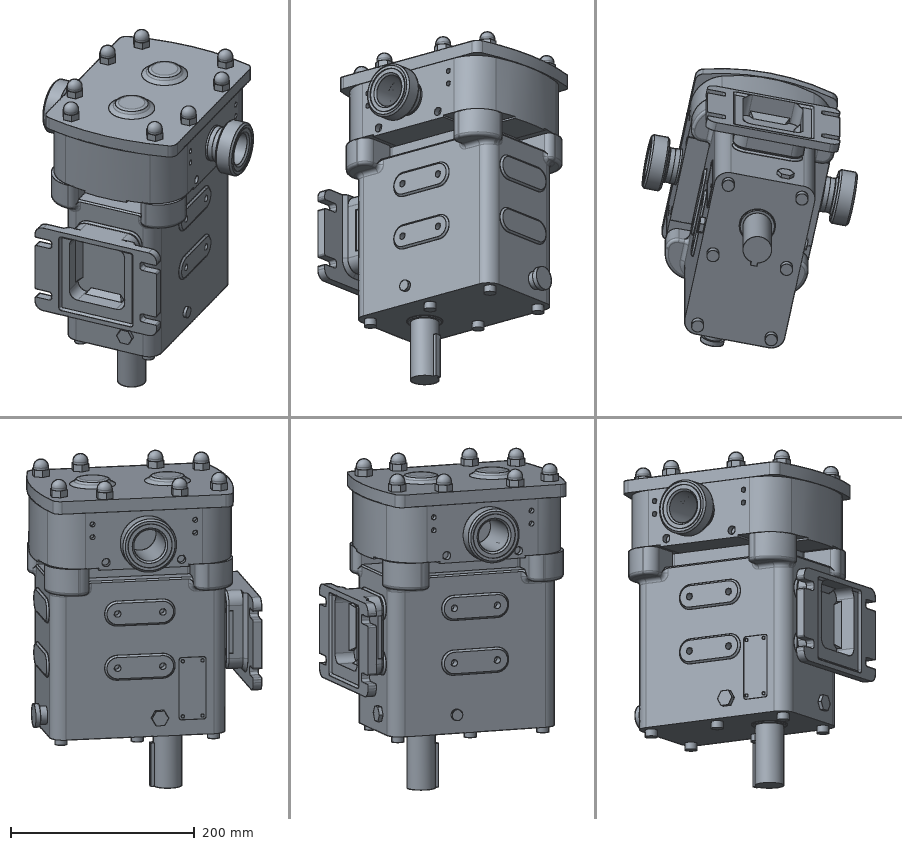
import cadquery as cq
import math

SIDES = (-1, 1)

CASE_HALF_X = 55.5
CASE_HALF_Y = 97.2
CASE_TOP = 176.0
CASE_CORNER_RADIUS = 15.0
CASE_LEDGE_CHAMFER = 1.8

EAR_OUTER_X = 79.0
EAR_INNER_X = 38.5
EAR_OUTER_Y = 104.0
EAR_INNER_Y = 59.0
EAR_BOTTOM = 165.5
EAR_TOP = 196.0
EAR_OUTER_RADIUS = 31.5
EAR_SIDE_RADIUS = 12.2
EAR_INNER_RADIUS = 8.0
EAR_BOTTOM_FILLET = 3.5
EAR_BLEND = 5.0
NECK_HALF_X = EAR_INNER_X
NECK_HALF_Y = 67.0
NECK_TOP = 193.7
NECK_CORNER_RADIUS = 10.8

PAD_LEVELS = (78.5, 139.0)
PAD_LENGTH = 78.2
PAD_HEIGHT = 28.0
PAD_THICKNESS = 2.5
PAD_CHAMFER = 2.0
PAD_HOLE_OFFSET = 25.0
PAD_HOLE_DIAMETER = 7.0
PAD_HOLE_DEPTH = 10.8

PLUG_LEVEL = 20.8
PLUG_OFFSET_X = 19.7
PLUG_OFFSET_Y = 22.0
HEX_PLUG_CORNERS = 18.5
FRONT_PLUG_LENGTH = 4.3
LEFT_PLUG_LENGTH = 5.0
RIGHT_PLUG_DIAMETER = 12.2
RIGHT_PLUG_LENGTH = 3.5
BREATHER_NECK_DIAMETER = 20.0
BREATHER_NECK_LENGTH = 8.3
BREATHER_CAP_DIAMETER = 26.0
BREATHER_REACH_Y = 111.0

PLATE_CENTER_Y = -58.5
PLATE_CENTER_Z = 52.0
PLATE_WIDTH = 29.8
PLATE_HEIGHT = 69.5
PLATE_THICKNESS = 0.7
PLATE_CORNER_RADIUS = 3.0
RIVET_INSET = 4.0
RIVET_DIAMETER = 3.5

BASE_BOLT_X = 41.0
BASE_BOLT_PITCH_Y = 84.5
BASE_BOLT_DIAMETER = 13.3
BASE_BOLT_LENGTH = 7.5
SHAFT_OFFSET = 41.5
SHAFT_DIAMETER = 31.2
SHAFT_LENGTH = 68.0
SEAL_DIAMETER = 39.5
SEAL_HEIGHT = 1.8
SEAL_CHAMFER = 1.0
KEY_WIDTH = 7.0
KEY_LENGTH = 48.5
KEY_RISE = 3.5

HOUSING_HALF_X = 78.5
HOUSING_HALF_Y = 109.0
COVER_HALF_X = 79.0
COVER_HALF_Y = 109.8
HOUSING_TOP = 258.3
HOUSING_ARC_RADIUS = 179.5
HOUSING_CORNER_RADIUS = 38.5
EAR_POCKET_INNER_X = 25.5
EAR_POCKET_INNER_Y = 50.0
COVER_TOP = 272.3
COVER_ARC_RADIUS = 269.0
COVER_CORNER_RADIUS = 9.5

BOSS_PROFILE = ((25.0, 0.0), (20.0, 3.2), (18.0, 5.7), (14.5, 6.8))

END_NUT_X = 50.5
END_NUT_Y = 89.0
SIDE_NUT_X = 69.0
NUT_CORNERS = 19.5
NUT_HEX_HEIGHT = 7.5
NUT_TOTAL_HEIGHT = 18.3
NUT_DOME_RADIUS = 8.3

PORT_LEVEL = 226.7
PORT_REACH = 114.0
PORT_NECK_RADIUS = 19.5
PORT_FLANGE_RADIUS = 29.8
PORT_FLANGE_LENGTH = 19.7
PORT_FLANGE_CHAMFER = 2.0
PORT_ROOT_TAPER = 2.0
PORT_GROOVE_START = 86.0
PORT_GROOVE_WIDTH = 5.5
PORT_GROOVE_DEPTH = 0.5
PORT_BASE_LENGTH = 2.0
PORT_BASE_RISE = 0.5
PORT_RECESS_RADIUS = 24.5
PORT_RECESS_DEPTH = 1.0
PORT_BORE_RADIUS = 17.5
PORT_BORE_CHAMFER = 2.0
PORT_BORE_DEPTH = 57.5

SENSOR_HOLE_Y = 57.0
SENSOR_HOLE_LEVELS = (231.0, 245.5)
SENSOR_HOLE_DIAMETER = 5.5
DRAIN_HOLE_Y = 42.0
DRAIN_HOLE_LEVEL = 202.0
DRAIN_HOLE_DIAMETER = 9.0
WALL_HOLE_DEPTH = 7.0

FOOT_FACE_Y = -132.0
FOOT_BACK_Y = -(CASE_HALF_Y + PAD_THICKNESS)
FOOT_TOP = 152.5
FLANGE_HALF_X = 73.5
FLANGE_BOTTOM = 49.0
FLANGE_THICKNESS = 9.7
FLANGE_CORNER_RADIUS = 10.0
SLOT_LEVELS = (69.2, 133.8)
SLOT_WIDTH = 10.0
SLOT_INNER_X = 53.5
SLOT_END_RADIUS = 3.2
SLOT_MOUTH_RADIUS = 1.8
BOX_HALF_X = 39.0
BOX_BOTTOM = 65.3
BOX_CORNER_RADIUS = 14.0
BOX_BACK_CHAMFER = 2.5
BOX_FLARE = 4.3
FLARE_BEVEL_SHARE = 0.99
FACE_RECESS_HALF_X = 45.0
FACE_RECESS_BOTTOM = 54.5
CAVITY_TOP = 146.7
FACE_RECESS_DEPTH = 3.0
FACE_RECESS_RADIUS = 3.5
FACE_RECESS_BEVEL = 2.5
CAVITY_HALF_X = 33.5
CAVITY_BOTTOM = 70.5
CAVITY_RADIUS = 10.0
CAVITY_FLOOR = 7.0
RIB_WIDTH = 5.7
RIB_HEIGHT = 6.0
RIB_END_SLOPE = 4.3
RIB_LENGTH_X = 35.0
RIB_LENGTH_Z = 43.8
RELIEF_DEPTH = 1.5
RELIEF_WIDTH = 4.5
RELIEF_OFFSET = 2.5
RELIEF_HEIGHT = 47.5


def block(x0, x1, y0, y1, z0, z1):
    return cq.Workplane("XY").box(x1 - x0, y1 - y0, z1 - z0, centered=False).translate((x0, y0, z0))


def wall_plane(normal, origin):
    """Plane on a vertical wall, with its local Y axis pointing up."""
    across = cq.Vector(0, 0, 1).cross(cq.Vector(*normal))
    return cq.Workplane(cq.Plane(origin, across, normal))


def join(body, parts):
    for part in parts:
        body = body.union(part)
    return body


def remove(body, parts):
    for part in parts:
        body = body.cut(part)
    return body


def ears():
    ear = block(EAR_INNER_X, EAR_OUTER_X, EAR_INNER_Y, EAR_OUTER_Y, EAR_BOTTOM, EAR_TOP)
    ear = ear.edges("|Z and >X and >Y").fillet(EAR_OUTER_RADIUS)
    ear = ear.edges("|Z and >X and <Y").fillet(EAR_SIDE_RADIUS)
    ear = ear.edges("|Z and <X and >Y").fillet(EAR_INNER_RADIUS)
    ear = ear.faces("<Z").edges().fillet(EAR_BOTTOM_FILLET)
    pair = ear.union(ear.mirror("YZ"))
    return pair.union(pair.mirror("XZ"))


def neck():
    body = block(-NECK_HALF_X, NECK_HALF_X, -NECK_HALF_Y, NECK_HALF_Y, EAR_BOTTOM, NECK_TOP)
    return body.edges("|Z").fillet(NECK_CORNER_RADIUS)


def case_block():
    body = block(-CASE_HALF_X, CASE_HALF_X, -CASE_HALF_Y, CASE_HALF_Y, 0, CASE_TOP)
    body = body.edges("|Z").fillet(CASE_CORNER_RADIUS)
    return body.faces(">Z").edges().chamfer(CASE_LEDGE_CHAMFER)


def blend_ears_into_case(body):
    """Round the inside corners where the ears leave the case walls."""
    ledge = CASE_TOP - CASE_LEDGE_CHAMFER
    core_x = CASE_HALF_X - CASE_CORNER_RADIUS
    core_y = CASE_HALF_Y - CASE_CORNER_RADIUS
    slack = 0.05

    def on_case_wall(edge):
        in_blend_zone = edge.BoundingBox().zmin > EAR_BOTTOM - slack and edge.Center().z < ledge - slack
        middle = edge.positionAt(0.5)
        past_x = max(abs(middle.x) - core_x, 0)
        past_y = max(abs(middle.y) - core_y, 0)
        on_wall = abs(math.hypot(past_x, past_y) - CASE_CORNER_RADIUS) < slack
        return in_blend_zone and on_wall

    return body.edges().filter(on_case_wall).fillet(EAR_BLEND)


def mounting_pads():
    pads = []
    walls = [((side, 0, 0), CASE_HALF_X) for side in SIDES]
    walls += [((0, side, 0), CASE_HALF_Y) for side in SIDES]
    for normal, distance in walls:
        outer_face = cq.DirectionMinMaxSelector(cq.Vector(*normal), True)
        for level in PAD_LEVELS:
            origin = (normal[0] * distance, normal[1] * distance, level)
            pad = wall_plane(normal, origin).slot2D(PAD_LENGTH, PAD_HEIGHT).extrude(PAD_THICKNESS)
            pads.append(pad.faces(outer_face).edges().chamfer(PAD_CHAMFER))
    return pads


def pad_holes():
    holes = []
    points = [(-PAD_HOLE_OFFSET, 0), (PAD_HOLE_OFFSET, 0)]
    for side in SIDES:
        for level in PAD_LEVELS:
            plane = wall_plane((side, 0, 0), (side * (CASE_HALF_X + PAD_THICKNESS), 0, level))
            holes.append(plane.pushPoints(points).circle(PAD_HOLE_DIAMETER / 2).extrude(-PAD_HOLE_DEPTH))
    return holes


def oil_plugs():
    front = wall_plane((0, -1, 0), (PLUG_OFFSET_X, -CASE_HALF_Y, PLUG_LEVEL))
    left = wall_plane((-1, 0, 0), (-CASE_HALF_X, -PLUG_OFFSET_Y, PLUG_LEVEL))
    right = wall_plane((1, 0, 0), (CASE_HALF_X, -PLUG_OFFSET_Y, PLUG_LEVEL))
    return [
        front.polygon(6, HEX_PLUG_CORNERS).extrude(FRONT_PLUG_LENGTH),
        left.polygon(6, HEX_PLUG_CORNERS).extrude(LEFT_PLUG_LENGTH),
        right.circle(RIGHT_PLUG_DIAMETER / 2).extrude(RIGHT_PLUG_LENGTH),
    ]


def breather():
    neck_part = wall_plane((0, 1, 0), (-PLUG_OFFSET_X, CASE_HALF_Y, PLUG_LEVEL))
    neck_part = neck_part.circle(BREATHER_NECK_DIAMETER / 2).extrude(BREATHER_NECK_LENGTH)
    cap_start = CASE_HALF_Y + BREATHER_NECK_LENGTH
    cap = wall_plane((0, 1, 0), (-PLUG_OFFSET_X, cap_start, PLUG_LEVEL))
    cap = cap.circle(BREATHER_CAP_DIAMETER / 2).extrude(BREATHER_REACH_Y - cap_start)
    return [neck_part, cap]


def nameplate():
    plane = wall_plane((-1, 0, 0), (-CASE_HALF_X, PLATE_CENTER_Y, PLATE_CENTER_Z))
    plate = plane.rect(PLATE_WIDTH, PLATE_HEIGHT).extrude(PLATE_THICKNESS)
    plate = plate.edges("|X").fillet(PLATE_CORNER_RADIUS)
    rivet_grid = plane.rect(PLATE_WIDTH - 2 * RIVET_INSET, PLATE_HEIGHT - 2 * RIVET_INSET, forConstruction=True)
    rivets = rivet_grid.vertices().circle(RIVET_DIAMETER / 2).extrude(2 * PLATE_THICKNESS)
    return [plate, rivets]


def base_bolts():
    grid = cq.Workplane("XY").rarray(2 * BASE_BOLT_X, BASE_BOLT_PITCH_Y, 2, 3)
    return [grid.circle(BASE_BOLT_DIAMETER / 2).extrude(-BASE_BOLT_LENGTH)]


def drive_shaft():
    axis = cq.Workplane("XY").center(0, -SHAFT_OFFSET)
    seal = axis.circle(SEAL_DIAMETER / 2).extrude(-SEAL_HEIGHT).faces("<Z").edges().chamfer(SEAL_CHAMFER)
    shaft = axis.circle(SHAFT_DIAMETER / 2).extrude(-SHAFT_LENGTH)
    key_top = -SHAFT_OFFSET + SHAFT_DIAMETER / 2 + KEY_RISE
    key = block(-KEY_WIDTH / 2, KEY_WIDTH / 2, -SHAFT_OFFSET, key_top,
                -SHAFT_LENGTH, KEY_LENGTH - SHAFT_LENGTH)
    return [seal, shaft, key]


def make_gear_case():
    body = blend_ears_into_case(case_block().union(ears()))
    body = body.union(neck())
    body = join(body, mounting_pads() + oil_plugs() + breather() + nameplate())
    body = join(body, base_bolts() + drive_shaft())
    return remove(body, pad_holes())


def barrel_outline(half_x, half_y, arc_radius):
    """Rectangle whose two ends bulge outward as arcs reaching half_y."""
    sagitta = arc_radius - math.sqrt(arc_radius**2 - half_x**2)
    shoulder = half_y - sagitta
    return (
        cq.Workplane("XY")
        .moveTo(half_x, -shoulder)
        .lineTo(half_x, shoulder)
        .threePointArc((0, half_y), (-half_x, shoulder))
        .lineTo(-half_x, -shoulder)
        .threePointArc((0, -half_y), (half_x, -shoulder))
        .close()
    )


def rotor_housing():
    outline = barrel_outline(HOUSING_HALF_X, HOUSING_HALF_Y, HOUSING_ARC_RADIUS)
    body = outline.extrude(HOUSING_TOP - NECK_TOP)
    return body.edges("|Z").fillet(HOUSING_CORNER_RADIUS).translate((0, 0, NECK_TOP))


def cover():
    outline = barrel_outline(COVER_HALF_X, COVER_HALF_Y, COVER_ARC_RADIUS)
    body = outline.extrude(COVER_TOP - HOUSING_TOP)
    return body.edges("|Z").fillet(COVER_CORNER_RADIUS).translate((0, 0, HOUSING_TOP))


def ear_pockets():
    """Shallow corner pockets in the housing underside that seat the ear tops."""
    pocket = block(EAR_POCKET_INNER_X, COVER_HALF_X, EAR_POCKET_INNER_Y, COVER_HALF_Y, NECK_TOP, EAR_TOP)
    pair = pocket.union(pocket.mirror("YZ"))
    return [pair, pair.mirror("XZ")]


def cover_bosses():
    profile = [(0, 0), *BOSS_PROFILE, (0, BOSS_PROFILE[-1][1])]
    boss = cq.Workplane("XZ").polyline(profile).close().revolve(360, (0, 0, 0), (0, 1, 0))
    return [boss.translate((0, side * SHAFT_OFFSET, COVER_TOP)) for side in SIDES]


def domed_nut():
    dome_center = NUT_TOTAL_HEIGHT - NUT_DOME_RADIUS
    hexagon = cq.Workplane("XY").polygon(6, NUT_CORNERS).extrude(NUT_HEX_HEIGHT)
    collar = cq.Workplane("XY").circle(NUT_DOME_RADIUS).extrude(dome_center)
    dome = cq.Workplane("XY").sphere(NUT_DOME_RADIUS).translate((0, 0, dome_center))
    return hexagon.union(collar).union(dome)


def cover_nuts():
    nut = domed_nut()
    spots = [(END_NUT_X, END_NUT_Y), (SIDE_NUT_X, SHAFT_OFFSET)]
    return [nut.translate((sx * x, sy * y, COVER_TOP)) for x, y in spots for sx in SIDES for sy in SIDES]


def port_fitting():
    """Fitting on the +X side: necked tube ending in a flange."""
    flange_start = PORT_REACH - PORT_FLANGE_LENGTH
    chamfer = PORT_FLANGE_CHAMFER
    base_end = HOUSING_HALF_X + PORT_BASE_LENGTH
    groove_end = PORT_GROOVE_START + PORT_GROOVE_WIDTH
    groove_radius = PORT_NECK_RADIUS - PORT_GROOVE_DEPTH
    profile = [
        (HOUSING_HALF_X, 0),
        (HOUSING_HALF_X, PORT_NECK_RADIUS + PORT_BASE_RISE),
        (base_end, PORT_NECK_RADIUS + PORT_BASE_RISE),
        (base_end, PORT_NECK_RADIUS),
        (PORT_GROOVE_START, PORT_NECK_RADIUS),
        (PORT_GROOVE_START, groove_radius),
        (groove_end, groove_radius),
        (groove_end, PORT_NECK_RADIUS),
        (flange_start - PORT_ROOT_TAPER, PORT_NECK_RADIUS),
        (flange_start, PORT_NECK_RADIUS + PORT_ROOT_TAPER),
        (flange_start, PORT_FLANGE_RADIUS - chamfer),
        (flange_start + chamfer, PORT_FLANGE_RADIUS),
        (PORT_REACH - chamfer, PORT_FLANGE_RADIUS),
        (PORT_REACH, PORT_FLANGE_RADIUS - chamfer),
        (PORT_REACH, 0),
    ]
    fitting = cq.Workplane("XY").polyline(profile).close().revolve(360, (0, 0, 0), (1, 0, 0))
    return fitting.translate((0, 0, PORT_LEVEL))


def port_bore():
    """Bore on the +X side, with a chamfered mouth inside a shallow face recess."""
    mouth = PORT_REACH - PORT_RECESS_DEPTH
    profile = [
        (PORT_REACH - PORT_BORE_DEPTH, 0),
        (PORT_REACH - PORT_BORE_DEPTH, PORT_BORE_RADIUS),
        (mouth - PORT_BORE_CHAMFER, PORT_BORE_RADIUS),
        (mouth, PORT_BORE_RADIUS + PORT_BORE_CHAMFER),
        (mouth, PORT_RECESS_RADIUS),
        (PORT_REACH, PORT_RECESS_RADIUS),
        (PORT_REACH, 0),
    ]
    bore = cq.Workplane("XY").polyline(profile).close().revolve(360, (0, 0, 0), (1, 0, 0))
    return bore.translate((0, 0, PORT_LEVEL))


def wall_holes():
    holes = [(SENSOR_HOLE_Y, level, SENSOR_HOLE_DIAMETER) for level in SENSOR_HOLE_LEVELS]
    holes.append((DRAIN_HOLE_Y, DRAIN_HOLE_LEVEL, DRAIN_HOLE_DIAMETER))
    return [
        wall_plane((sx, 0, 0), (sx * HOUSING_HALF_X, sy * y, level)).circle(diameter / 2).extrude(-WALL_HOLE_DEPTH)
        for y, level, diameter in holes
        for sx in SIDES
        for sy in SIDES
    ]


def make_pump_head():
    fitting = port_fitting()
    bore = port_bore()
    body = join(rotor_housing(), [cover(), fitting, fitting.mirror("YZ")])
    body = join(body, cover_bosses() + cover_nuts())
    return remove(body, [bore, bore.mirror("YZ")] + ear_pockets() + wall_holes())


def foot_flange():
    back = FOOT_FACE_Y + FLANGE_THICKNESS
    body = block(-FLANGE_HALF_X, FLANGE_HALF_X, FOOT_FACE_Y, back, FLANGE_BOTTOM, FOOT_TOP)
    body = body.edges("|Y").fillet(FLANGE_CORNER_RADIUS)
    mid_level = sum(SLOT_LEVELS) / 2
    slot_reach = (SLOT_LEVELS[1] - SLOT_LEVELS[0] + 2 * SLOT_WIDTH) / 2
    slots = []
    for level in SLOT_LEVELS:
        slot = block(SLOT_INNER_X, 2 * FLANGE_HALF_X, FOOT_FACE_Y, back,
                     level - SLOT_WIDTH / 2, level + SLOT_WIDTH / 2)
        slot = slot.edges("|Y and <X").fillet(SLOT_END_RADIUS)
        slots += [slot, slot.mirror("YZ")]
    body = remove(body, slots)
    mouth_corners = body.edges("|Y").filter(lambda edge: abs(abs(edge.Center().x) - FLANGE_HALF_X) < 0.05)
    mouth_corners = mouth_corners.filter(lambda edge: abs(edge.Center().z - mid_level) < slot_reach)
    return mouth_corners.fillet(SLOT_MOUTH_RADIUS)


def foot_box():
    body = block(-BOX_HALF_X, BOX_HALF_X, FOOT_FACE_Y + FLANGE_THICKNESS, FOOT_BACK_Y, BOX_BOTTOM, FOOT_TOP)
    body = body.edges("|Y").fillet(BOX_CORNER_RADIUS)
    return body.faces(">Y").edges().chamfer(BOX_BACK_CHAMFER)


def foot_flare():
    """Bevelled skirt where the box spreads into the flange, flush with the foot top."""
    skirt = (
        cq.Workplane("XZ", origin=(0, FOOT_FACE_Y + FLANGE_THICKNESS, 0))
        .center(0, (BOX_BOTTOM - BOX_FLARE + FOOT_TOP) / 2)
        .rect(2 * (BOX_HALF_X + BOX_FLARE), FOOT_TOP - BOX_BOTTOM + BOX_FLARE)
        .extrude(-BOX_FLARE)
    )
    skirt = skirt.edges("|Y and <Z").fillet(BOX_CORNER_RADIUS + BOX_FLARE)
    back_rim = skirt.faces(">Y").edges("not >Z")
    return back_rim.chamfer(FLARE_BEVEL_SHARE * BOX_FLARE)


def foot_cavity():
    recess = block(-FACE_RECESS_HALF_X, FACE_RECESS_HALF_X, FOOT_FACE_Y, FOOT_FACE_Y + FACE_RECESS_DEPTH,
                   FACE_RECESS_BOTTOM, CAVITY_TOP).edges("|Y").fillet(FACE_RECESS_RADIUS)
    recess = recess.faces(">Y").edges().chamfer(FACE_RECESS_BEVEL)
    cavity = block(-CAVITY_HALF_X, CAVITY_HALF_X, FOOT_FACE_Y, FOOT_BACK_Y - CAVITY_FLOOR,
                   CAVITY_BOTTOM, CAVITY_TOP).edges("|Y").fillet(CAVITY_RADIUS)
    return [recess, cavity.cut(cavity_ribs())]


def cavity_ribs():
    """Wedge ribs with sloped ends along the four cavity walls, at its floor."""
    center_z = (CAVITY_BOTTOM + CAVITY_TOP) / 2
    floor_y = FOOT_BACK_Y - CAVITY_FLOOR
    half_z = (CAVITY_TOP - CAVITY_BOTTOM) / 2

    def rib(wall_distance, length, angle):
        base = length / 2 + RIB_END_SLOPE
        wedge = (
            cq.Workplane("XY")
            .polyline([(wall_distance, floor_y), (wall_distance - RIB_WIDTH, floor_y),
                       (wall_distance, floor_y - RIB_HEIGHT)])
            .close()
            .extrude(base, both=True)
        )
        ends = (
            cq.Workplane("XZ")
            .polyline([(wall_distance, -base), (wall_distance, base),
                       (wall_distance - RIB_WIDTH, length / 2), (wall_distance - RIB_WIDTH, -length / 2)])
            .close()
            .extrude(2 * abs(FOOT_FACE_Y))
        )
        wedge = wedge.intersect(ends)
        return wedge.rotate((0, 0, 0), (0, 1, 0), angle).translate((0, 0, center_z))

    ribs = [rib(CAVITY_HALF_X, RIB_LENGTH_Z, angle) for angle in (0, 180)]
    ribs += [rib(half_z, RIB_LENGTH_X, angle) for angle in (90, 270)]
    return join(ribs[0], ribs[1:])


def side_reliefs():
    """Shallow rectangular reliefs in the box sides, next to the gear case."""
    back = FOOT_BACK_Y - RELIEF_OFFSET
    mid_level = (BOX_BOTTOM + FOOT_TOP) / 2
    relief = block(BOX_HALF_X - RELIEF_DEPTH, BOX_HALF_X, back - RELIEF_WIDTH, back,
                   mid_level - RELIEF_HEIGHT / 2, mid_level + RELIEF_HEIGHT / 2)
    return [relief, relief.mirror("YZ")]


def make_foot():
    body = join(foot_flange(), [foot_box(), foot_flare()])
    return remove(body, foot_cavity() + side_reliefs())


gear_case = make_gear_case()
pump_head = make_pump_head()
foot = make_foot()
result = cq.Compound.makeCompound([gear_case.val(), pump_head.val(), foot.val()])